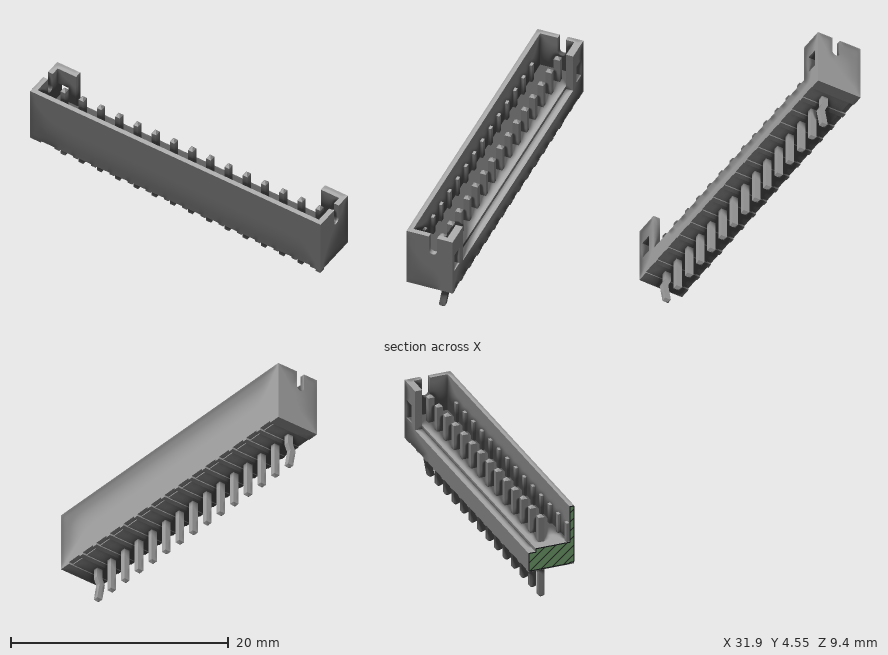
import cadquery as cq


length = 31.9
width = 4.55
height = 6.0
end_wall = 0.5
front_wall = 0.48
rear_wall = 0.7
cavity_depth = 3.67

rear_post = 2.52
rear_opening_depth = 4.02
window_length = 1.18
window_top_depth = 1.85

slot_width = 0.8
slot_depth = 1.98
slot_y = 2.6

pin_count = 15
end_pin_inset = 1.95
pin_x = 0.5
pin_y = 0.6
pin_centre_y = 2.8
pin_top = height - 0.95
pin_bottom = -3.4
tip_height = 0.22
tip_scale = 0.2

bend_offset = 0.3
bend_start = -0.85
bend_peak = -1.53

front_recess_height = 0.2
floor_recess_height = 0.1
foot_width = 0.5
end_foot_length = 1.18
rib_width = 0.48
rib_depth = 0.3
rib_height = 1.9

inner_length = length - 2 * end_wall
inner_rear = width - rear_wall
floor_z = height - cavity_depth
row_end = length / 2 - end_pin_inset
pitch = 2 * row_end / (pin_count - 1)
pin_positions = [-row_end + i * pitch for i in range(pin_count)]
gap_positions = [x + pitch / 2 for x in pin_positions[:-1]]


def centred_block(x, x_size, y_min, y_max, z_min, z_max):
    """Box centred on x, with limits along Y and Z."""
    size = (x_size, y_max - y_min, z_max - z_min)
    return cq.Workplane("XY").box(*size, centered=(True, False, False)).translate((x, y_min, z_min))


def shell():
    """Housing walls and floor, with the rear opening, windows and end slots."""
    body = centred_block(0, length, 0, width, 0, height)
    body = body.cut(centred_block(0, inner_length, front_wall, inner_rear, floor_z, height))

    opening_length = length - 2 * rear_post
    opening_floor = height - rear_opening_depth
    body = body.cut(centred_block(0, opening_length, inner_rear, width, opening_floor, height))

    window_x = (inner_length - window_length) / 2
    window_top = height - window_top_depth
    for x in (-window_x, window_x):
        body = body.cut(centred_block(x, window_length, inner_rear, width, floor_z, window_top))

    slot_radius = slot_width / 2
    slot_centre_z = height - slot_depth + slot_radius
    slot = centred_block(0, length, slot_y - slot_radius, slot_y + slot_radius, slot_centre_z, height)
    slot_round = (
        cq.Workplane("YZ").center(slot_y, slot_centre_z).circle(slot_radius).extrude(length / 2, both=True)
    )
    return body.cut(slot).cut(slot_round)


def foot_recesses():
    """Shallow grooves across the underside, deeper under the front wall, between the standoff feet."""
    recess_length = length - 2 * end_foot_length
    recess = centred_block(0, recess_length, 0, width, 0, floor_recess_height)
    recess = recess.union(centred_block(0, recess_length, 0, front_wall, 0, front_recess_height))
    for x in gap_positions:
        recess = recess.cut(centred_block(x, foot_width, 0, width, 0, front_recess_height))
    return recess


def ribs():
    """Short ribs rising from the floor against the front wall, one per pin gap."""
    rib_rear = front_wall + rib_depth
    rib_top = floor_z + rib_height
    group = cq.Workplane("XY")
    for x in gap_positions:
        group = group.add(centred_block(x, rib_width, front_wall, rib_rear, floor_z, rib_top))
    return group.combine()


def tip(z, direction):
    """Tapered pin end starting at z and pointing up (1) or down (-1)."""
    return (
        cq.Workplane("XY", origin=(0, pin_centre_y, z))
        .rect(pin_x, pin_y)
        .workplane(offset=direction * tip_height)
        .rect(pin_x * tip_scale, pin_y * tip_scale)
        .loft()
    )


def pin(bend):
    """Pin at x = 0 whose tail swings towards +Y by bend and returns to the tip."""
    front = pin_centre_y - pin_y / 2
    rear = pin_centre_y + pin_y / 2
    shank_top = pin_top - tip_height
    shank_bottom = pin_bottom + tip_height
    outline = [
        (front, shank_top),
        (front, bend_start),
        (front + bend, bend_peak),
        (front, shank_bottom),
        (rear, shank_bottom),
        (rear + bend, bend_peak),
        (rear, bend_start),
        (rear, shank_top),
    ]
    shank = cq.Workplane("YZ").polyline(outline).close().extrude(pin_x / 2, both=True)
    return shank.union(tip(shank_top, 1)).union(tip(shank_bottom, -1))


straight_pin = pin(0).clean()
bent_pin = pin(bend_offset)

result = shell().cut(foot_recesses()).union(ribs())
for x in pin_positions:
    is_end = x in (pin_positions[0], pin_positions[-1])
    shape = bent_pin if is_end else straight_pin
    result = result.union(shape.translate((x, 0, 0)))